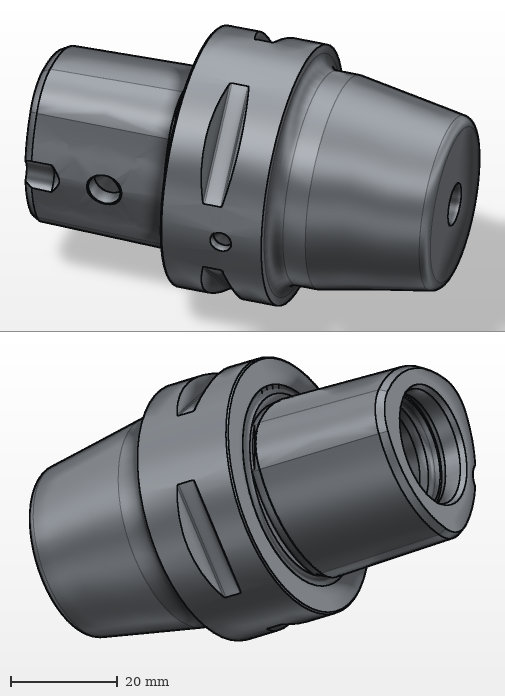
import cadquery as cq
import math


total_length = 80.0
shank_chamfer_end = 1.5
taper_end = 27.8
neck_turned_start = 28.9
neck_face = 29.5
flange_start = 29.9
flange_end = 49.9
nose_cone_start = 57.1

lobe_center_offset = 8.6
lobe_radius = 10.0
flank_radius = 25.0
taper_slope = 1 / 40
shank_chamfer_depth = 0.9
neck_relief = 0.2
lobe_count = 3

collar_radius = 17.8
undercut_radius = 19.6
undercut_depth = 0.3

flange_radius = 50.0 / 2
flange_chamfer = 0.3
nose_radius = 20.6
nose_root_fillet = 2.8
nose_tip_radius = 16.6
nose_tip_fillet = 1.9

slot_floor_distance = 22.1
slot_floor_width = 3.7
slot_mouth_width = 6.7
slot_floor_fillet = 0.4
slot_first_angle = 45.0
slot_count = 4

drill_point_angle = 118.0
notch_radius = 3.8
notch_axis_distance = 17.7
notch_length = 5.4
notch_point_angle = 100.0
shank_hole_position = 16.0
shank_hole_radius = 3.2
shank_hole_mouth = 16.0
shank_hole_chamfer = 0.2
shank_hole_floor = 12.2
flange_hole_position = 41.9
flange_hole_radius = 2.1
flange_hole_floor = 23.0

bore_mouth_radius = 11.8
bore_entry_radius = 11.2
bore_groove_radius = 11.8
bore_cone_radius = 10.6
bore_radius = 9.9
bore_mouth_depth = 1.1
bore_groove_start = 4.4
bore_groove_end = 5.6
bore_fillet_start = 6.8
bore_cone_start = 7.8
bore_start = 9.3
bore_floor = 24.0
through_hole_radius = 4.1


def polar(radius, angle):
    """Point in the YZ plane at an angle in degrees from +Y."""
    return cq.Vector(radius * math.cos(math.radians(angle)), radius * math.sin(math.radians(angle)))


def lobed_wire(x, inset):
    """Six-arc outline at station x, moved inward by inset from the large end of the taper."""
    small = lobe_radius - inset
    large = flank_radius - inset
    lobe_pitch = 360 / lobe_count
    half_span = lobe_pitch / 4
    outline = cq.Workplane("YZ", origin=(x, 0, 0))
    outline = outline.moveTo(*(polar(lobe_center_offset, 0) + polar(small, -half_span)).toTuple()[:2])
    for lobe in range(lobe_count):
        angle = lobe * lobe_pitch
        flank_angle = angle + lobe_pitch / 2
        center = polar(lobe_center_offset, angle)
        next_center = polar(lobe_center_offset, angle + lobe_pitch)
        lobe_tip = polar(lobe_center_offset + small, angle)
        lobe_finish = center + polar(small, angle + half_span)
        flank_middle = polar(large - lobe_center_offset, flank_angle)
        flank_finish = next_center + polar(small, angle + lobe_pitch - half_span)
        outline = outline.threePointArc(lobe_tip.toTuple()[:2], lobe_finish.toTuple()[:2])
        outline = outline.threePointArc(flank_middle.toTuple()[:2], flank_finish.toTuple()[:2])
    return outline.close().val()


def lobed_section(x_start, inset_start, x_end, inset_end):
    wires = [lobed_wire(x_start, inset_start), lobed_wire(x_end, inset_end)]
    return cq.Workplane(cq.Solid.makeLoft(wires, True))


def revolve_about_x(profile):
    return profile.close().revolve(360, (0, 0, 0), (1, 0, 0))


def make_shank():
    small_end_inset = taper_slope * (taper_end - shank_chamfer_end)
    tip = lobed_section(0, small_end_inset + shank_chamfer_depth, shank_chamfer_end, small_end_inset)
    taper = lobed_section(shank_chamfer_end, small_end_inset, taper_end, 0)
    neck = lobed_section(taper_end, neck_relief, flange_start, neck_relief)
    turning = revolve_about_x(
        cq.Workplane("XZ")
        .moveTo(taper_end, 0)
        .lineTo(taper_end, lobe_center_offset + lobe_radius)
        .lineTo(neck_turned_start, collar_radius)
        .lineTo(flange_start, collar_radius)
        .lineTo(flange_start, 0)
    )
    return tip.union(taper).union(neck.intersect(turning))


def make_turned_body():
    fillet_middle = nose_root_fillet * (1 - math.sqrt(0.5))
    undercut_middle = (collar_radius + undercut_radius) / 2
    body = revolve_about_x(
        cq.Workplane("XZ")
        .moveTo(neck_face, 0)
        .lineTo(neck_face, collar_radius)
        .threePointArc((flange_start + undercut_depth, undercut_middle), (flange_start, undercut_radius))
        .lineTo(flange_start, flange_radius - flange_chamfer)
        .lineTo(flange_start + flange_chamfer, flange_radius)
        .lineTo(flange_end, flange_radius)
        .lineTo(flange_end, nose_radius + nose_root_fillet)
        .threePointArc(
            (flange_end + fillet_middle, nose_radius + fillet_middle),
            (flange_end + nose_root_fillet, nose_radius),
        )
        .lineTo(nose_cone_start, nose_radius)
        .lineTo(total_length, nose_tip_radius)
        .lineTo(total_length, 0)
    )
    return body.faces(">X").edges().fillet(nose_tip_fillet)


def make_slot(angle):
    """Trapezoidal slot across the flange, its floor facing outward at the given angle."""
    middle = (flange_start + flange_end) / 2
    slot = (
        cq.Workplane("XZ", origin=(middle, 0, 0))
        .moveTo(-slot_floor_width / 2, slot_floor_distance)
        .lineTo(slot_floor_width / 2, slot_floor_distance)
        .lineTo(slot_mouth_width / 2, flange_radius)
        .lineTo(-slot_mouth_width / 2, flange_radius)
        .close()
        .extrude(flange_radius, both=True)
        .faces("<Z")
        .edges("|Y")
        .fillet(slot_floor_fillet)
    )
    return slot.rotate((0, 0, 0), (1, 0, 0), angle)


def drill(start, direction, radius, length, point_angle):
    """Cylinder of the given length ending in a drill point."""
    start = cq.Vector(*start)
    direction = cq.Vector(*direction)
    point_length = radius / math.tan(math.radians(point_angle / 2))
    shoulder = start + direction * length
    cylinder = cq.Solid.makeCylinder(radius, length, start, direction)
    point = cq.Solid.makeCone(radius, 0, point_length, shoulder, direction)
    return cq.Workplane(cylinder).union(cq.Workplane(point))


def radial_drill(x, radius, floor):
    """Blind hole drilled toward +Y from outside the -Y surface."""
    return drill((x, -flange_radius, 0), (0, 1, 0), radius, flange_radius - floor, drill_point_angle)


def make_shank_hole():
    """Blind hole in the shank with a chamfered mouth."""
    hole = radial_drill(shank_hole_position, shank_hole_radius, shank_hole_floor)
    chamfer = cq.Solid.makeCone(
        shank_hole_radius + shank_hole_chamfer,
        shank_hole_radius,
        shank_hole_chamfer,
        cq.Vector(shank_hole_position, -shank_hole_mouth, 0),
        cq.Vector(0, 1, 0),
    )
    return hole.union(cq.Workplane(chamfer))


def make_bore():
    return revolve_about_x(
        cq.Workplane("XZ")
        .moveTo(0, 0)
        .lineTo(0, bore_mouth_radius)
        .lineTo(bore_mouth_depth, bore_entry_radius)
        .lineTo(bore_groove_start, bore_entry_radius)
        .lineTo(bore_groove_start, bore_groove_radius)
        .lineTo(bore_groove_end, bore_groove_radius)
        .lineTo(bore_groove_end, bore_entry_radius)
        .lineTo(bore_fillet_start, bore_entry_radius)
        .tangentArcPoint((bore_cone_start, bore_cone_radius), relative=False)
        .lineTo(bore_start, bore_radius)
        .lineTo(bore_floor, bore_radius)
        .lineTo(bore_floor, through_hole_radius)
        .lineTo(total_length, through_hole_radius)
        .lineTo(total_length, 0)
    )


result = make_shank().union(make_turned_body())
for index in range(slot_count):
    result = result.cut(make_slot(slot_first_angle + index * 360 / slot_count))
result = result.cut(drill((0, -notch_axis_distance, 0), (1, 0, 0), notch_radius, notch_length, notch_point_angle))
result = result.cut(make_shank_hole())
result = result.cut(radial_drill(flange_hole_position, flange_hole_radius, flange_hole_floor))
result = result.cut(make_bore())